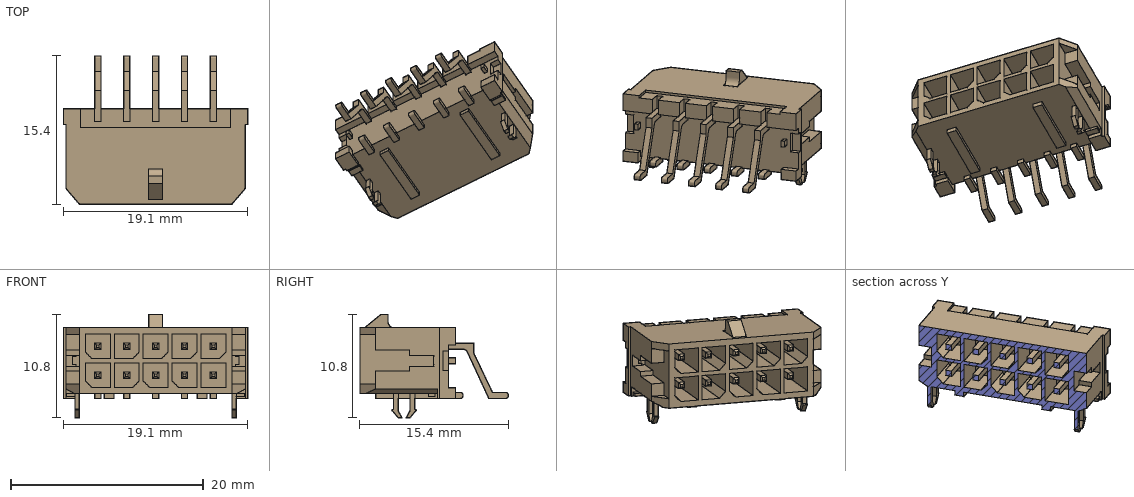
import cadquery as cq


overall_width = 19.15
overall_height = 10.77

columns = 5
pitch = 3.0
lower_row_z = 2.42
upper_row_z = lower_row_z + pitch
pin_size = 0.66

body_half_width = 9.31
body_bottom = 0.5
body_top = 7.39
back_wall_y = 9.2
rear_y = 9.92
nose_half_width = 7.92
nose_length = 1.62
overhang_bottom = 5.56
end_foot_front = 8.03
end_foot_top = 1.13
bevel_width = 0.91
bevel_height = 0.49

flange_half_width = overall_width / 2
flange_front = 8.27
notch_front = 8.63
notch_bottom = 2.90
notch_top = 4.94
notch_depth = 0.9

step_half_width = 7.78
step_front = 7.97
step_depth = 0.25
pin_slot_front = 8.57

cavity_size = 2.58
cavity_chamfer = 0.69
cavity_depth = 7.0
keys_by_row = {upper_row_z: (-1, 1, 1, 1, 1), lower_row_z: (-1, 1, -1, -1, 0)}

pin_front = 1.5
pin_tip = 0.28
pin_taper = 0.19
tail_height = 0.64
tail_end_radius = 0.25
upper_tail_top = upper_row_z + pin_size / 2
upper_tail_bend_y = 11.83
upper_tail_end = 15.4
lower_tail_end = 10.7

latch_width = 1.47
latch_toe = 0.52
latch_crest_front = 2.18
latch_back = 2.92
latch_top = 8.75
latch_root_radius = 0.74
latch_root_bottom = 7.29

side_slot_stages = (
    (nose_length, 1.52, 6.63),
    (5.13, 2.84, 5.05),
    (7.65, 3.33, 4.48),
)
clip_seat_width = 0.37
clip_seat_depth = 0.15
window_width = 0.73
window_bottom = 3.54
window_top = 4.36

clip_thickness = 0.46
clip_centre_y = 4.58
leg_inner = 0.6
leg_outer = 1.11
leg_barb = 1.3
leg_tip_inner = 0.2
leg_root_z = 1.03
leg_shoulder_z = -1.11
leg_barb_z = -1.19
leg_bend_z = -1.28
leg_tip_z = latch_top - overall_height
tab_outer_x = 9.25
tab_front = 7.13
tab_back = 7.78
tab_bottom = 0.19
peg_bottom = 3.60
peg_top = 4.24

rib_inner_x = 4.32
rib_outer_x = 5.34


def box(x0, x1, y0, y1, z0, z1):
    return cq.Workplane("XY").box(x1 - x0, y1 - y0, z1 - z0, centered=False).translate((x0, y0, z0))


def side_profile(x_start):
    """Sketch plane whose local axes are the part's Y and Z; extrusion runs toward +X."""
    return cq.Workplane("YZ", origin=(x_start, 0, 0))


def both_ends(shape):
    """The shape together with its mirror image across the middle of the rows."""
    return shape.union(shape.mirror("YZ"))


def make_housing():
    outline = [
        (-nose_half_width, 0),
        (nose_half_width, 0),
        (body_half_width, nose_length),
        (body_half_width, back_wall_y),
        (-body_half_width, back_wall_y),
        (-body_half_width, nose_length),
    ]
    height = body_top - body_bottom
    housing = cq.Workplane("XY", origin=(0, 0, body_bottom)).polyline(outline).close().extrude(height)

    bevel = (
        cq.Workplane("XZ")
        .polyline([
            (body_half_width, body_bottom),
            (body_half_width, body_bottom + bevel_height),
            (body_half_width - bevel_width, body_bottom),
        ])
        .close()
        .extrude(-end_foot_front)
    )
    housing = housing.cut(both_ends(bevel))

    overhang = box(-body_half_width, body_half_width, back_wall_y, rear_y, overhang_bottom, body_top)
    return housing.union(overhang)


def add_flanges(housing):
    flange = box(nose_half_width, flange_half_width, flange_front, back_wall_y, 0, body_top)
    rear_top = box(nose_half_width, flange_half_width, back_wall_y, rear_y, overhang_bottom, body_top)
    rear_foot = box(nose_half_width, flange_half_width, back_wall_y, rear_y, 0, end_foot_top)
    front_foot = box(nose_half_width, body_half_width, end_foot_front, flange_front, 0, end_foot_top)
    flange = flange.union(rear_top).union(rear_foot).union(front_foot)
    notch_inner_x = flange_half_width - notch_depth
    notch = box(notch_inner_x, flange_half_width, notch_front, back_wall_y, notch_bottom, notch_top)
    return housing.union(both_ends(flange)).cut(both_ends(notch))


def cut_rear_step(housing):
    return housing.cut(
        box(-step_half_width, step_half_width, step_front, rear_y, body_top - step_depth, body_top)
    )


def cut_pin_slot(housing, x):
    half = pin_size / 2
    return housing.cut(
        box(x - half, x + half, pin_slot_front, rear_y, upper_row_z - half, body_top)
    )


def make_cavity(x, z, key):
    half = cavity_size / 2
    cavity = box(x - half, x + half, 0, cavity_depth, z - half, z + half)
    if key == 0:
        return cavity
    corner_x = x + key * half
    corner = (
        cq.Workplane("XZ")
        .polyline([
            (corner_x, z - half),
            (corner_x - key * cavity_chamfer, z - half),
            (corner_x, z - half + cavity_chamfer),
        ])
        .close()
        .extrude(-cavity_depth)
    )
    return cavity.cut(corner)


def make_contact(x, z):
    """Straight mating length of a pin with a tapered tip, rooted in the back wall."""
    shoulder = pin_front + pin_taper
    half = pin_size / 2
    shank = box(x - half, x + half, shoulder, pin_slot_front, z - half, z + half)
    tip = (
        cq.Workplane("XZ", origin=(x, pin_front, z))
        .rect(pin_tip, pin_tip)
        .workplane(offset=-pin_taper)
        .rect(pin_size, pin_size)
        .loft()
    )
    return shank.union(tip)


def make_upper_tail(x):
    """Leaves the rear of the housing, slopes down and ends flat on the board."""
    arc_start = (10.65, upper_tail_top - tail_height)
    arc_middle = (10.92, 5.06)
    arc_end = (11.15, 4.80)
    outer_bend_z = 4.70
    inner_heel_y = 13.37
    outer_heel_y = 13.77
    tail = (
        side_profile(x - pin_size / 2)
        .moveTo(pin_slot_front, upper_tail_top)
        .lineTo(upper_tail_bend_y, upper_tail_top)
        .lineTo(upper_tail_bend_y, outer_bend_z)
        .lineTo(outer_heel_y, tail_height)
        .lineTo(upper_tail_end, tail_height)
        .lineTo(upper_tail_end, 0)
        .lineTo(inner_heel_y, 0)
        .lineTo(*arc_end)
        .threePointArc(arc_middle, arc_start)
        .lineTo(pin_slot_front, arc_start[1])
        .close()
        .extrude(pin_size)
    )
    return tail.faces(">Y").edges("|X").fillet(tail_end_radius)


def make_lower_tail(x):
    half = pin_size / 2
    tail = box(x - half, x + half, pin_slot_front, lower_tail_end, 0, tail_height)
    return tail.faces(">Y").edges("|X").fillet(tail_end_radius)


def add_latch(housing):
    root_end = latch_back + latch_root_radius
    half = latch_width / 2
    latch = (
        side_profile(-half)
        .polyline([
            (latch_toe, body_top),
            (latch_crest_front, latch_top),
            (latch_back, latch_top),
            (root_end, latch_top),
            (root_end, latch_root_bottom),
            (latch_toe, latch_root_bottom),
        ])
        .close()
        .extrude(latch_width)
    )
    root_axis_z = latch_root_bottom + latch_root_radius
    root_circle = side_profile(-half).center(root_end, root_axis_z).circle(latch_root_radius)
    root_round = root_circle.extrude(latch_width)
    above_root = box(-half, half, latch_back, root_end, root_axis_z, latch_top)
    relief = root_round.union(above_root).intersect(
        box(-half, half, latch_back, root_end, latch_root_bottom, latch_top)
    )
    return housing.union(latch).cut(relief)


def cut_side_slots(housing):
    slot_front = 0
    for slot_rear, bottom, top in side_slot_stages:
        stage = box(nose_half_width, body_half_width, slot_front, slot_rear, bottom, top)
        housing = housing.cut(both_ends(stage))
        slot_front = slot_rear
    seat_outer_x = nose_half_width + clip_seat_width
    window_outer_x = nose_half_width + window_width
    seat_floor = slot_front + clip_seat_depth
    seat = box(nose_half_width, seat_outer_x, slot_front, seat_floor, bottom, top)
    window = box(seat_outer_x, window_outer_x, slot_front, seat_floor, window_bottom, window_top)
    return housing.cut(both_ends(seat.union(window)))


def make_clip_leg(direction):
    """One barbed leg; direction is -1 for the front leg and 1 for the rear leg."""
    offsets = [
        (leg_inner, leg_root_z),
        (leg_outer, leg_root_z),
        (leg_outer, leg_shoulder_z),
        (leg_barb, leg_barb_z),
        (leg_inner, leg_tip_z),
        (leg_tip_inner, leg_tip_z),
        (leg_inner, leg_bend_z),
    ]
    points = [(clip_centre_y + direction * offset, z) for offset, z in offsets]
    return side_profile(nose_half_width).polyline(points).close().extrude(clip_thickness)


def make_clip():
    tab = box(nose_half_width, tab_outer_x, tab_front, tab_back, tab_bottom, body_bottom)
    peg_outer_x = nose_half_width + clip_seat_width
    peg = box(nose_half_width, peg_outer_x, notch_front, rear_y, peg_bottom, peg_top)
    return make_clip_leg(-1).union(make_clip_leg(1)).union(tab).union(peg)


result = cut_rear_step(add_flanges(make_housing()))
result = cut_side_slots(add_latch(result))
for column in range(columns):
    column_x = (column - (columns - 1) / 2) * pitch
    result = cut_pin_slot(result, column_x)
    for row_z, keys in keys_by_row.items():
        result = result.cut(make_cavity(column_x, row_z, keys[column]))
        result = result.union(make_contact(column_x, row_z))
    result = result.union(make_upper_tail(column_x)).union(make_lower_tail(column_x))
rib = box(rib_inner_x, rib_outer_x, nose_length, end_foot_front, 0, body_bottom)
result = result.union(both_ends(rib)).union(both_ends(make_clip()))